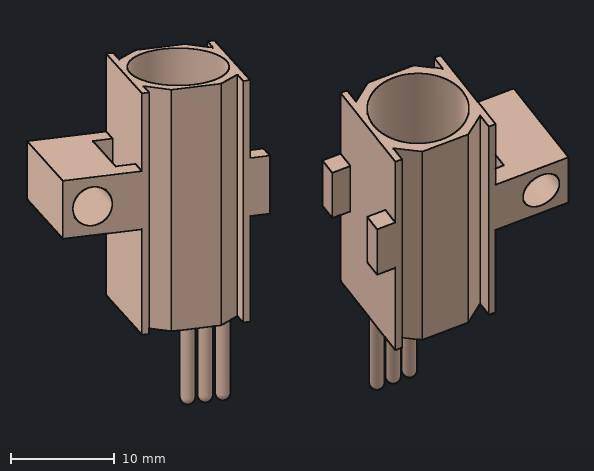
import cadquery as cq

width = 11.0
body_depth = 11.0
body_height = 25.0
total_height = 35.0

plate_thickness = 0.75
side_flat_length = 5.05
neck_width = 7.45

bore_diameter = 9.8
floor_thickness = 1.0

lug_bottom = 10.92
lug_height = 6.02
front_lug_length = 8.0
rear_lug_length = 2.0
window_width = 7.0
cross_hole_diameter = 4.0
cross_hole_edge_distance = 3.0

pin_diameter = 1.5
pin_pitch = 1.8
first_pin_y = 0.95
pin_count = 3

half_width = width / 2
half_depth = body_depth / 2
plate_inner_y = half_depth - plate_thickness
pin_length = total_height - body_height


def make_body():
    """Extruded body with notched sides and a blind bore from the top."""
    quarter = [
        (half_width, side_flat_length / 2),
        (neck_width / 2, plate_inner_y),
        (half_width, plate_inner_y),
        (half_width, half_depth),
    ]
    right_side = [(x, -y) for x, y in reversed(quarter)] + quarter
    left_side = [(-x, -y) for x, y in right_side]
    body = cq.Workplane("XY").polyline(right_side + left_side).close().extrude(body_height)
    bore = (
        cq.Workplane("XY", origin=(0, 0, floor_thickness))
        .circle(bore_diameter / 2)
        .extrude(body_height - floor_thickness)
    )
    return body.cut(bore)


def lug_block(block_width, y_start, y_end):
    """Block at lug height, centred on X and spanning y_start to y_end."""
    return cq.Workplane("XY").box(
        block_width, y_end - y_start, lug_height, centered=(True, False, False)
    ).translate((0, y_start, lug_bottom))


def make_front_lug():
    """Full-width lug with a window against the body and a hole along X."""
    front_y = -half_depth - front_lug_length
    lug = lug_block(width, front_y, -half_depth)
    window = lug_block(window_width, -half_depth - rear_lug_length, -half_depth)
    hole_center = (-half_width, front_y + cross_hole_edge_distance, lug_bottom + lug_height / 2)
    cross_hole = cq.Workplane("YZ", origin=hole_center).circle(cross_hole_diameter / 2).extrude(width)
    return lug.cut(window).cut(cross_hole)


def make_rear_lugs():
    """Pair of short lugs separated by the window width."""
    rear_y = half_depth + rear_lug_length
    return lug_block(width, half_depth, rear_y).cut(lug_block(window_width, half_depth, rear_y))


def make_pin(y):
    """Pin below the body with a hemispherical tip."""
    radius = pin_diameter / 2
    shank_length = pin_length - radius
    shank = cq.Workplane("XY").circle(radius).extrude(-shank_length)
    tip = cq.Workplane("XY").sphere(radius).translate((0, 0, -shank_length))
    return shank.union(tip).translate((0, y, 0))


result = make_body().union(make_front_lug()).union(make_rear_lugs())
for index in range(pin_count):
    result = result.union(make_pin(first_pin_y + index * pin_pitch))